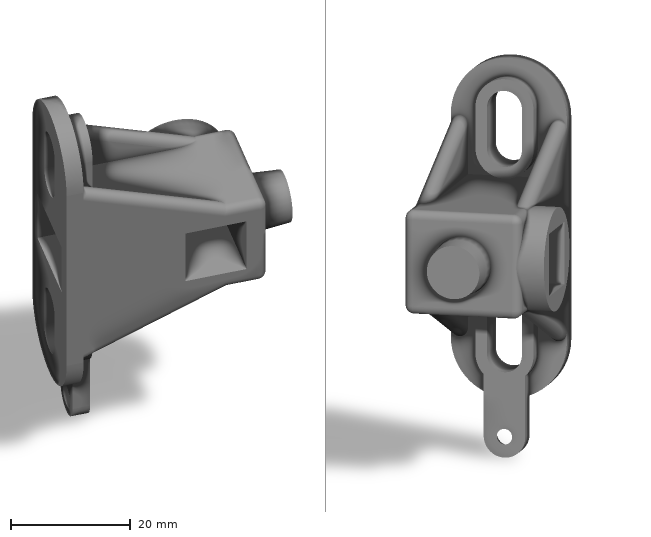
import cadquery as cq
import math

overall_height = 67.5

plate_width = 20.0
plate_height = 58.0
plate_thickness = 3.0
slot_width = 6.0
slot_length = 12.95
slot_offset = 17.5

rim_thickness = 3.05
rim_width = 10.0
rim_length = slot_length + rim_width - slot_width
tang_width = 7.15
eye_z = plate_height / 2 - overall_height + tang_width / 2
eye_front_diameter = 4.2
eye_rear_diameter = 2.6

block_depth = 34.95
block_height = 17.7
block_fillet = 1.4
cheek_thickness = 3.0
cheek_tip_y = 28.1
cheek_foot_half_height = 18.4
cheek_tip_half_height = 7.2

boss_diameter = 17.5
boss_length = 4.05
bore_y = 26.0
bore_size = 10.65
peg_length = 6.0
peg_base_diameter = 10.0
peg_tip_diameter = 9.05

pocket_width = 14.2
pocket_height = 10.0


def upright_slot(width, length, z, start_y, depth):
    """Vertical round-ended prism extruded along +Y from start_y."""
    return (
        cq.Workplane("XZ", origin=(0, start_y, z))
        .slot2D(length, width, 90)
        .extrude(-depth)
    )


def make_block():
    block = cq.Workplane("XY").box(plate_width, block_depth, block_height, centered=(True, False, True))
    return block.edges("|Y or >Y").fillet(block_fillet)


def make_cheek(center_x):
    """Trapezoidal side wall with a full round along each sloping edge."""
    outline = [
        (0, -cheek_foot_half_height),
        (cheek_tip_y, -cheek_tip_half_height),
        (cheek_tip_y, cheek_tip_half_height),
        (0, cheek_foot_half_height),
    ]
    cheek = (
        cq.Workplane("YZ", origin=(center_x, 0, 0))
        .polyline(outline)
        .close()
        .extrude(cheek_thickness / 2, both=True)
    )
    slope_rise = cheek_foot_half_height - cheek_tip_half_height
    slope_length = math.hypot(cheek_tip_y, slope_rise)
    for side in (-1, 1):
        direction = cq.Vector(0, cheek_tip_y, -side * slope_rise).normalized()
        foot = cq.Vector(center_x, 0, side * cheek_foot_half_height)
        rounded_edge = cq.Solid.makeCylinder(
            cheek_thickness / 2,
            slope_length + cheek_thickness,
            foot - direction * cheek_thickness,
            direction,
        )
        cheek = cheek.union(cq.Workplane(rounded_edge))
    front_trim = cq.Workplane("XY", origin=(center_x, -plate_width, 0)).box(
        plate_width, plate_width, plate_height, centered=(True, False, True)
    )
    return cheek.cut(front_trim)


def make_tang():
    eye_to_rim = -slot_offset - slot_length / 2 - eye_z
    tang = cq.Workplane("XY", origin=(0, plate_thickness, eye_z)).box(
        tang_width, rim_thickness, eye_to_rim, centered=(True, False, False)
    )
    eye_end = (
        cq.Workplane("XZ", origin=(0, plate_thickness, eye_z))
        .circle(tang_width / 2)
        .extrude(-rim_thickness)
    )
    return tang.union(eye_end)


def tapered_round(start_y, z, length, start_diameter, end_diameter):
    """Truncated cone along +Y."""
    return (
        cq.Workplane("XZ", origin=(0, start_y, z))
        .circle(start_diameter / 2)
        .workplane(offset=-length)
        .circle(end_diameter / 2)
        .loft()
    )


def make_boss():
    return (
        cq.Workplane("YZ", origin=(-plate_width / 2 - boss_length, bore_y, 0))
        .circle(boss_diameter / 2)
        .extrude(boss_length + plate_width / 2)
    )


result = upright_slot(plate_width, plate_height, 0, 0, plate_thickness)
result = result.union(make_block())
cheek_x = (plate_width - cheek_thickness) / 2
result = result.union(make_cheek(-cheek_x)).union(make_cheek(cheek_x))
for side in (-1, 1):
    result = result.union(upright_slot(rim_width, rim_length, side * slot_offset, plate_thickness, rim_thickness))
result = result.union(make_tang()).union(make_boss())
result = result.union(tapered_round(block_depth, 0, peg_length, peg_base_diameter, peg_tip_diameter))

for side in (-1, 1):
    result = result.cut(
        upright_slot(slot_width, slot_length, side * slot_offset, 0, plate_thickness + rim_thickness)
    )

bore_length = plate_width + boss_length
result = result.cut(
    cq.Workplane("XY").box(bore_length, bore_size, bore_size).translate((-boss_length / 2, bore_y, 0))
)

result = result.cut(
    cq.Workplane("XY").box(pocket_width, bore_y, pocket_height, centered=(True, False, True))
)

result = result.cut(
    tapered_round(plate_thickness, eye_z, rim_thickness, eye_front_diameter, eye_rear_diameter)
)